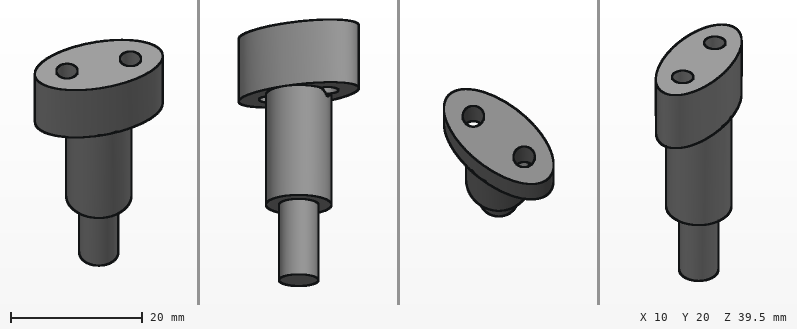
import cadquery as cq
import math

total_height = 39.5
head_width = 10.0
head_length = 2 * head_width
head_height = 10.0

shaft_diameter = head_width
pin_diameter = 6.0
pin_length = 12.0
shaft_length = total_height - head_height - pin_length

hole_diameter = 3.25
hole_offset = shaft_diameter / 2
drill_point_angle = 118.0

shaft_bottom = pin_length
head_bottom = shaft_bottom + shaft_length


def make_stem():
    """Round pin with the thicker shaft on top of it."""
    pin = cq.Workplane("XY").circle(pin_diameter / 2).extrude(pin_length)
    shaft = (
        cq.Workplane("XY", origin=(0, 0, shaft_bottom))
        .circle(shaft_diameter / 2)
        .extrude(shaft_length)
    )
    return pin.union(shaft)


def make_head():
    """Elliptical block, long along Y."""
    return (
        cq.Workplane("XY", origin=(0, 0, head_bottom))
        .ellipse(head_width / 2, head_length / 2)
        .extrude(head_height)
    )


def make_drill(y):
    """Drilled hole through the head, its conical point reaching into the shaft."""
    radius = hole_diameter / 2
    point_depth = radius / math.tan(math.radians(drill_point_angle / 2))
    return (
        cq.Workplane("XZ")
        .moveTo(0, head_bottom - point_depth)
        .lineTo(radius, head_bottom)
        .lineTo(radius, total_height)
        .lineTo(0, total_height)
        .close()
        .revolve(360, (0, 0, 0), (0, 1, 0))
        .translate((0, y, 0))
    )


result = make_stem().union(make_head())
for hole_y in (-hole_offset, hole_offset):
    result = result.cut(make_drill(hole_y))